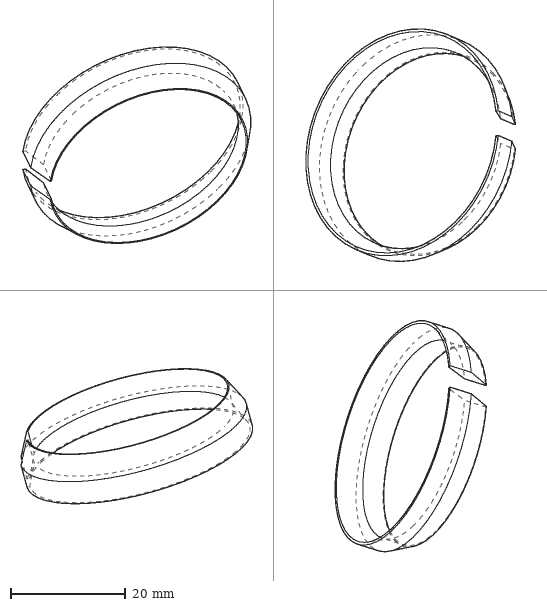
import cadquery as cq

width = 8.5
outer_radius = 20.45
inner_radius = 18.1
rim_thickness = 0.5
tip_thickness = 0.25
gap_width = 4.5

front_x = -width / 2
middle_x = 0.0
back_x = width / 2


def closed_ring():
    """Revolve the double-tapered wall section around the X axis.

    The section lies on the -Y side, so the seam falls where the gap is cut away.
    """
    section = (
        cq.Workplane("XY")
        .moveTo(front_x, -outer_radius)
        .lineTo(middle_x, -outer_radius)
        .lineTo(back_x, -(inner_radius + tip_thickness))
        .lineTo(back_x, -inner_radius)
        .lineTo(middle_x, -inner_radius)
        .lineTo(front_x, -(outer_radius - rim_thickness))
        .close()
    )
    return section.revolve(360, (0, 0, 0), (1, 0, 0))


def gap_cutter():
    """Parallel-sided block that opens the ring on the -Y side."""
    reach = 2 * outer_radius
    return cq.Workplane("XY").box(2 * width, reach, gap_width).translate((0, -reach / 2, 0))


result = closed_ring().cut(gap_cutter())